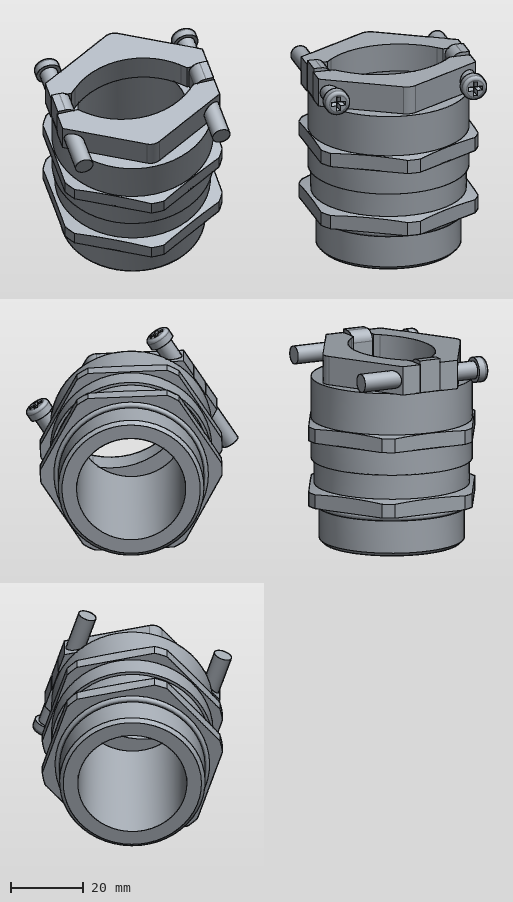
import cadquery as cq
import math

bore_radius = 15.0
thread_radius = 20.0
thread_chamfer = 1.0
seal_centre_radius = 20.3
seal_section_radius = 0.95
neck_radius = 21.4
body_radius = 22.2
lower_nut_base = 12.05
nut_height = 4.5
neck_top = 23.5
upper_nut_base = 30.5
body_top = 46.5

nut_across_flats = 45.0
nut_corner_radius = 25.0
nut_bevel_height = 0.6

clamp_height = 8.0
clamp_half_depth = nut_across_flats / 2
clamp_end_half_width = 8.5
clamp_corner_radius = 3.5
opening_half_width = 10.75
opening_arc_radius = 21.5
opening_arc_half_angle = math.radians(45)
gap_half_width = 3.1

bridge_rise = 1.0
bridge_outer_y = 22.3
bridge_inner_y = 17.1
bridge_round_radius = 3.0

screw_y = 19.625
screw_z = body_top + clamp_height / 2
shank_radius = 2.5
screw_tip_x = 20.0
head_radius = 3.5
head_length = 3.0
head_outer_x = -18.0
head_round_radius = 1.0
recess_length = 4.0
recess_width = 1.1
recess_depth = 1.5
recess_wall_inset = 0.5


def cylinder(radius, z_bottom, z_top):
    return cq.Workplane("XY").workplane(offset=z_bottom).circle(radius).extrude(z_top - z_bottom)


def make_seal():
    """O-ring seated directly under the lower nut."""
    seal_z = lower_nut_base - seal_section_radius
    return (
        cq.Workplane("XZ")
        .moveTo(bore_radius, seal_z - seal_section_radius)
        .lineTo(seal_centre_radius, seal_z - seal_section_radius)
        .threePointArc(
            (seal_centre_radius + seal_section_radius, seal_z),
            (seal_centre_radius, seal_z + seal_section_radius),
        )
        .lineTo(bore_radius, seal_z + seal_section_radius)
        .close()
        .revolve(360, (0, 0, 0), (0, 1, 0))
    )


def make_nut(z_base):
    """Hexagon with rounded corners and a conical bevel around its top."""
    z_top = z_base + nut_height
    across_corners = nut_across_flats / math.cos(math.pi / 6)
    hexagon = cq.Workplane("XY").workplane(offset=z_base).polygon(6, across_corners).extrude(nut_height)
    envelope = (
        cq.Workplane("XZ")
        .moveTo(0, z_base)
        .lineTo(nut_corner_radius, z_base)
        .lineTo(nut_corner_radius, z_top - nut_bevel_height)
        .lineTo(neck_radius, z_top)
        .lineTo(0, z_top)
        .close()
        .revolve(360, (0, 0, 0), (0, 1, 0))
    )
    return hexagon.intersect(envelope)


def make_body():
    body = cylinder(thread_radius, 0, lower_nut_base).faces("<Z").chamfer(thread_chamfer)
    body = body.union(make_seal())
    body = body.union(make_nut(lower_nut_base))
    body = body.union(cylinder(neck_radius, lower_nut_base + nut_height, neck_top))
    body = body.union(cylinder(body_radius, neck_top, body_top))
    body = body.union(make_nut(upper_nut_base))
    return body.cut(cylinder(bore_radius, 0, body_top))


def make_clamp():
    """Six-sided jaws around a lens-shaped opening, with a gap at each Y end."""
    side_corner_x = clamp_end_half_width + clamp_half_depth * math.tan(math.pi / 6)
    jaws = (
        cq.Workplane("XY")
        .workplane(offset=body_top)
        .polyline([
            (side_corner_x, 0),
            (clamp_end_half_width, clamp_half_depth),
            (-clamp_end_half_width, clamp_half_depth),
            (-side_corner_x, 0),
            (-clamp_end_half_width, -clamp_half_depth),
            (clamp_end_half_width, -clamp_half_depth),
        ])
        .close()
        .extrude(clamp_height)
        .edges("|Z and (<X or >X)")
        .fillet(clamp_corner_radius)
    )
    arc_centre_x = opening_arc_radius - opening_half_width
    arc_end_x = opening_arc_radius * math.cos(opening_arc_half_angle) - arc_centre_x
    arc_end_y = opening_arc_radius * math.sin(opening_arc_half_angle)
    gap_corner_y = arc_end_y + (arc_end_x - gap_half_width) / math.tan(opening_arc_half_angle)
    opening = (
        cq.Workplane("XY")
        .workplane(offset=body_top)
        .moveTo(arc_end_x, -arc_end_y)
        .threePointArc((opening_half_width, 0), (arc_end_x, arc_end_y))
        .lineTo(gap_half_width, gap_corner_y)
        .lineTo(gap_half_width, clamp_half_depth)
        .lineTo(-gap_half_width, clamp_half_depth)
        .lineTo(-gap_half_width, gap_corner_y)
        .lineTo(-arc_end_x, arc_end_y)
        .threePointArc((-opening_half_width, 0), (-arc_end_x, -arc_end_y))
        .lineTo(-gap_half_width, -gap_corner_y)
        .lineTo(-gap_half_width, -clamp_half_depth)
        .lineTo(gap_half_width, -clamp_half_depth)
        .lineTo(gap_half_width, -gap_corner_y)
        .close()
        .extrude(clamp_height)
    )
    return jaws.cut(opening)


def make_bridge():
    """Bridge at the +Y end, rising above the jaws with a rounded inner top edge."""
    width = 2 * gap_half_width
    depth = bridge_outer_y - bridge_inner_y
    height = clamp_height + bridge_rise
    return (
        cq.Workplane("XY")
        .box(width, depth, height, centered=(True, False, False))
        .translate((0, bridge_inner_y, body_top))
        .edges("|X and >Z and <Y")
        .fillet(bridge_round_radius)
    )


def make_screw():
    """Screw at the +Y end with a rounded head and a tapered cross recess."""
    head_plane = cq.Workplane("YZ", origin=(head_outer_x, screw_y, screw_z))
    head = head_plane.circle(head_radius).extrude(head_length).faces("<X").edges().fillet(head_round_radius)
    shank = head_plane.workplane(offset=head_length).circle(shank_radius)
    shank = shank.extrude(screw_tip_x - head_outer_x - head_length)
    recess_taper = math.degrees(math.atan(recess_wall_inset / recess_depth))
    recess = head_plane.rect(recess_length, recess_width).extrude(recess_depth, taper=recess_taper)
    recess = recess.union(recess.rotate((0, screw_y, screw_z), (1, screw_y, screw_z), 90))
    return head.union(shank).cut(recess)


result = make_body().union(make_clamp())
for end_piece in (make_bridge(), make_screw()):
    result = result.union(end_piece).union(end_piece.mirror("XZ"))